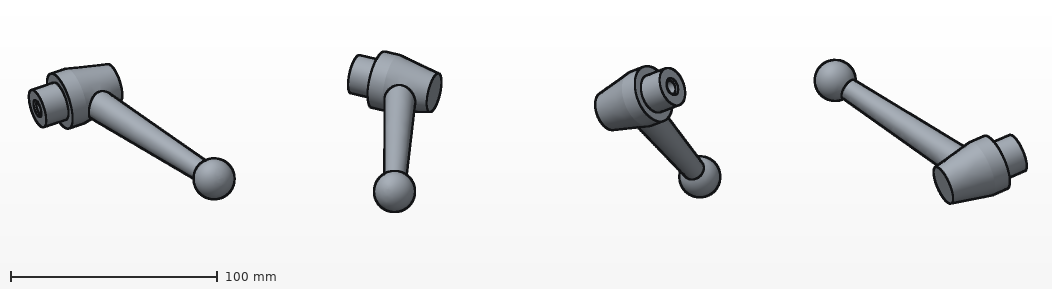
import cadquery as cq
import math

total_length = 107.0
total_height = 64.0

stem_diameter = 19.0
stem_length = 12.0
collar_diameter = 28.0
collar_length = 8.0
hub_top_diameter = 19.3
hub_height = 41.1

mouth_diameter = 8.6
hole_diameter = 6.6
hole_depth = 21.4
drill_half_angle = 59.0

ball_diameter = 20.0
arm_angle = 20.0
arm_root_diameter = 15.1
arm_straight_length = 12.7
arm_tip_diameter = 10.1

ball_radius = ball_diameter / 2
ball_x = total_length - collar_diameter / 2 - ball_radius
ball_y = total_height - ball_radius
arm_length = ball_x / math.cos(math.radians(arm_angle))
arm_root_y = ball_y - ball_x * math.tan(math.radians(arm_angle))


def revolve_about_y(points):
    """Turn a closed (radius, Y) outline into a solid about the hub axis."""
    return cq.Workplane("XY").polyline(points).close().revolve(360, (0, 0), (0, 1))


def make_hub():
    collar_top = stem_length + collar_length
    return revolve_about_y([
        (0, 0),
        (stem_diameter / 2, 0),
        (stem_diameter / 2, stem_length),
        (collar_diameter / 2, stem_length),
        (collar_diameter / 2, collar_top),
        (hub_top_diameter / 2, hub_height),
        (0, hub_height),
    ])


def make_hole():
    hole_radius = hole_diameter / 2
    mouth_radius = mouth_diameter / 2
    countersink_depth = mouth_radius - hole_radius
    point_depth = hole_radius / math.tan(math.radians(drill_half_angle))
    return revolve_about_y([
        (0, 0),
        (mouth_radius, 0),
        (hole_radius, countersink_depth),
        (hole_radius, hole_depth),
        (0, hole_depth + point_depth),
    ])


def make_arm():
    """Arm from the hub axis to the ball's centre: straight at the root, then tapered."""
    root_radius = arm_root_diameter / 2
    return (
        cq.Workplane("XY")
        .moveTo(0, 0)
        .lineTo(0, root_radius)
        .lineTo(arm_straight_length, root_radius)
        .lineTo(arm_length, arm_tip_diameter / 2)
        .lineTo(arm_length, 0)
        .close()
        .revolve(360, (0, 0), (1, 0))
        .rotate((0, 0, 0), (0, 0, 1), arm_angle)
        .translate((0, arm_root_y, 0))
    )


def make_ball():
    return cq.Workplane("XY").sphere(ball_radius).translate((ball_x, ball_y, 0))


result = make_hub().union(make_arm()).union(make_ball()).cut(make_hole())